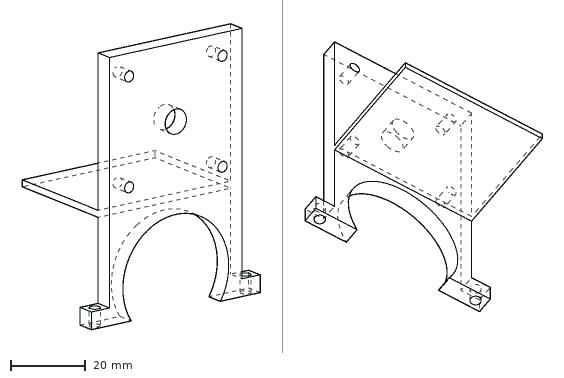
import cadquery as cq

plate_thickness = 5.2
plate_width = 44.0
total_height = 75.0
shelf_length = 34.0
shelf_thickness = 2.0
shelf_top = total_height - plate_width

motor_center_z = shelf_top + plate_width / 2
motor_hole_spacing = 31.0
motor_hole_diameter = 3.0
shaft_hole_diameter = 7.0

saddle_diameter = 35.1
saddle_center_z = 9.5

feet_span = 56.0
foot_height = 5.0
foot_hole_spacing = 50.0
foot_hole_diameter = 3.0


def block(x_min, x_size, y_size, z_min, z_size):
    """Box starting at x_min and z_min, centred on Y."""
    box = cq.Workplane("XY").box(x_size, y_size, z_size, centered=(False, True, False))
    return box.translate((x_min, 0, z_min))


def cylinder_along_x(diameter, y, z):
    """Cutter running through the plate thickness."""
    return cq.Workplane("YZ").center(y, z).circle(diameter / 2).extrude(plate_thickness)


def make_body():
    plate = block(0, plate_thickness, plate_width, 0, total_height)
    feet = block(0, plate_thickness, feet_span, 0, foot_height)
    shelf = block(-shelf_length, shelf_length, plate_width, shelf_top - shelf_thickness, shelf_thickness)
    return plate.union(feet).union(shelf)


def cut_motor_holes(body):
    body = body.cut(cylinder_along_x(shaft_hole_diameter, 0, motor_center_z))
    offset = motor_hole_spacing / 2
    for y in (-offset, offset):
        for z in (motor_center_z - offset, motor_center_z + offset):
            body = body.cut(cylinder_along_x(motor_hole_diameter, y, z))
    return body


def cut_saddle(body):
    return body.cut(cylinder_along_x(saddle_diameter, 0, saddle_center_z))


def cut_foot_holes(body):
    for y in (-foot_hole_spacing / 2, foot_hole_spacing / 2):
        hole = cq.Workplane("XY").center(plate_thickness / 2, y).circle(foot_hole_diameter / 2)
        body = body.cut(hole.extrude(foot_height))
    return body


result = cut_foot_holes(cut_saddle(cut_motor_holes(make_body())))